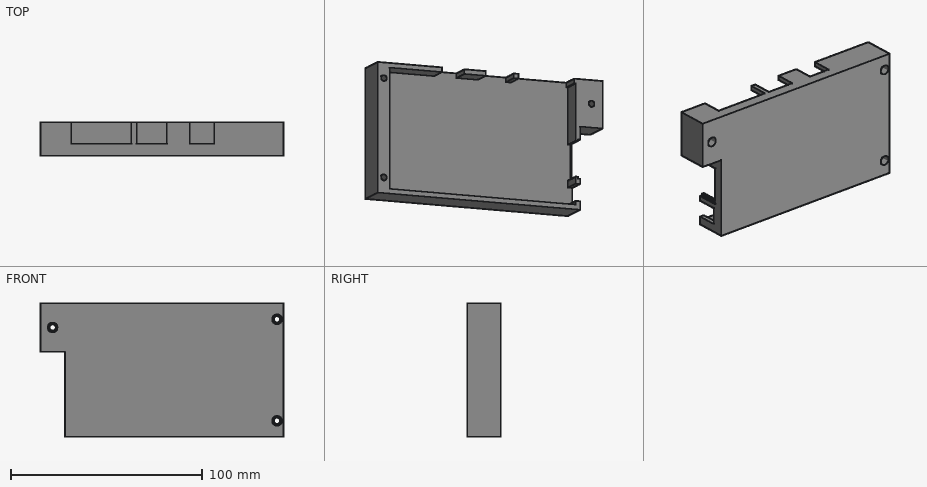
import cadquery as cq

length = 127.0
depth = 17.53
height = 69.85

corner_cut_length = 12.7
ear_height = 25.4

wall = 2.54
right_wall = 6.8
front_thickness = 6.35

top_openings = [(16.1, 47.5), (50.2, 66.0), (78.1, 90.7)]

small_opening = (4.6, 13.8)
large_opening = (17.6, 36.7)

recess_span = (16.6, 37.5)
recess_depth = wall / 2
recess_floor = 5.3

hole_diameter = 3.2
counterbore_diameter = 5.1
counterbore_depth = 5.0
right_hole_inset = right_wall / 2
right_hole_end_inset = 8.4
ear_hole_inset = corner_cut_length / 2
hole_positions = [
    (ear_hole_inset, height - ear_height / 2),
    (length - right_hole_inset, right_hole_end_inset),
    (length - right_hole_inset, height - right_hole_end_inset),
]


def box_between(low, high):
    """Axis-aligned box spanning two opposite corners."""
    sizes = [end - start for start, end in zip(low, high)]
    return cq.Workplane("XY").box(*sizes, centered=False).translate(low)


def body():
    """Solid block with its lower left corner cut away."""
    block = box_between((0, 0, 0), (length, depth, height))
    corner = box_between((0, 0, 0), (corner_cut_length, depth, height - ear_height))
    return block.cut(corner)


def cavity():
    """Cutter for the rectangular pocket, open to the back, that leaves the ear solid."""
    low = (corner_cut_length + wall, front_thickness, wall)
    high = (length - right_wall, depth, height - wall)
    return box_between(low, high)


def top_opening(start, end):
    """Cutter through the top wall, open to the back."""
    return box_between((start, front_thickness, height - wall), (end, depth, height))


def side_opening(bottom, top, cut_depth, floor):
    """Cutter into the lower left wall from outside, open to the back."""
    outside = corner_cut_length
    return box_between((outside, floor, bottom), (outside + cut_depth, depth, top))


def screw_hole(x, z):
    """Cutter for a through hole with a counterbore in the front face."""
    front = cq.Workplane("XZ").center(x, z)
    through = front.circle(hole_diameter / 2).extrude(-depth)
    counterbore = front.circle(counterbore_diameter / 2).extrude(-counterbore_depth)
    return through.union(counterbore)


result = body().cut(cavity())

for start, end in top_openings:
    result = result.cut(top_opening(start, end))

for bottom, top in (small_opening, large_opening):
    result = result.cut(side_opening(bottom, top, wall, front_thickness))
result = result.cut(side_opening(*recess_span, recess_depth, recess_floor))

for x, z in hole_positions:
    result = result.cut(screw_hole(x, z))